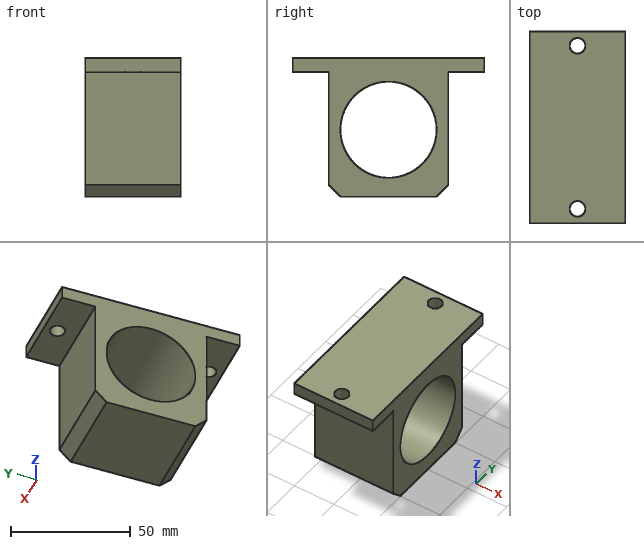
import cadquery as cq

plate_width = 40.0
plate_length = 80.0
plate_thickness = 6.0
screw_diameter = 6.4
screw_spacing = 68.0

total_height = 58.0
block_length = 50.0
bore_diameter = 40.0
bore_depth_below_top = 30.0
corner_chamfer = (block_length - bore_diameter) / 2

top_z = bore_depth_below_top
bottom_z = top_z - total_height


def make_plate():
    """Flat plate whose upper face is the top of the part."""
    return (
        cq.Workplane("XY", origin=(0, 0, top_z - plate_thickness))
        .box(plate_width, plate_length, plate_thickness, centered=(True, True, False))
    )


def make_block():
    """Full-width block with its two lower long edges chamfered."""
    block_height = total_height - plate_thickness
    return (
        cq.Workplane("XY", origin=(0, 0, bottom_z))
        .box(plate_width, block_length, block_height, centered=(True, True, False))
        .edges("|X and <Z")
        .chamfer(corner_chamfer)
    )


def make_bore():
    """Cylinder through the block along X."""
    return (
        cq.Workplane("YZ", origin=(-plate_width / 2, 0, 0))
        .circle(bore_diameter / 2)
        .extrude(plate_width)
    )


def make_screw_holes():
    """Two vertical cylinders through the ends of the plate."""
    return (
        cq.Workplane("XY", origin=(0, 0, top_z))
        .pushPoints([(0, side * screw_spacing / 2) for side in (-1, 1)])
        .circle(screw_diameter / 2)
        .extrude(-plate_thickness)
    )


result = make_plate().union(make_block()).cut(make_bore()).cut(make_screw_holes())